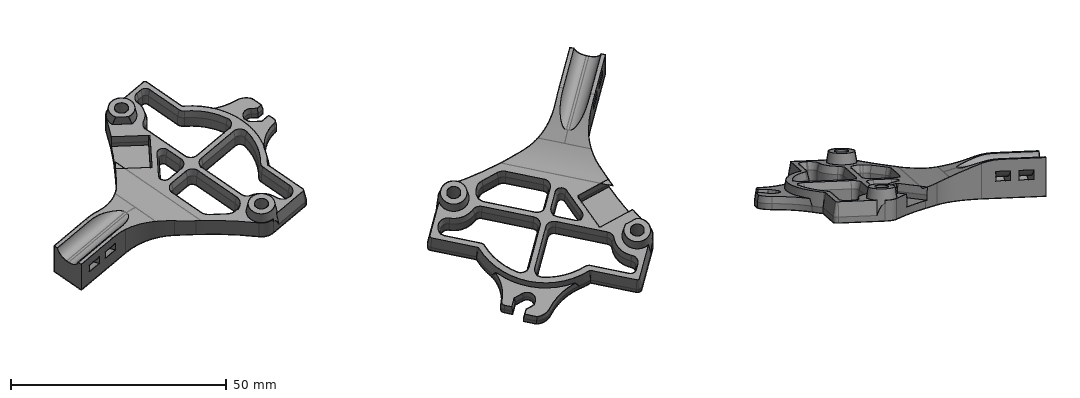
import cadquery as cq
import math

plate_top = 4.9
stem_top = 9.2
hook_top = 3.1
boss_top = 7.55
rim_break = 1.45
window_break = 3.1
pocket_floor = 1.85
draft = 10
window_draft = 15

half_width = 25.585
shoulder_y = 12.1
shoulder_round = 1.1
crown_radius = 18.2
boss_x = 21.885
corner_radius = half_width - boss_x
hole_diameter = 3.2
boss_foot_radius = 4.2
boss_flat_offset = 2.75

stem_half_width = 4.25
stem_end_y = -42.9
flank_sum = 25.0
flank_start_angle = math.radians(34)
flank_bend_x = 12.6
neck_radius = 16.5

rise_start_y = -11.6
rise_bend_y = -19.45
rise_bend_z = 5.95
rise_middle = (-25.7, 7.8)
rise_end_y = -32.0

groove_radius = 3.0
groove_axis_z = 9.85
groove_flat = 0.6
tie_inner_radius = 5.5
tie_outer_radius = 7.1
tie_width = 3.5
tie_offsets = (2.9, 8.4)

hook_left_top = 25.6
hook_right_top = 24.4
notch_center = (-0.6, 21.5)
notch_radius = 1.7
notch_left_x = -0.72
notch_right_x = 2.1

rib_half_width = 1.15
window_end_x = 23.255
window_shoulder_y = 9.7
window_crown_radius = 15.585
boss_wall_radius = 5.925
window_round = 1.5
small_round = 0.95
end_round = 1.8
reflex_round = 2.05
triangle_sum = 10.4
lower_window_x = 16.85
lower_window_y = -9.2
lower_window_diff = 21.8
lower_window_round = 2.2

pocket_center_u = -4.1
pocket_width = 9.2
pocket_back_v = -9.5
pocket_length = 13.7


def add_draft(base, height, angle):
    """Continue a straight prism upward by the given height with its walls leaning in by angle."""
    flare = base.faces(">Z").wires().toPending().workplane().extrude(height, taper=angle, combine=False)
    return base.union(flare)


def drafted(outline, break_z, top_z, angle):
    """Extrude an outline straight up to break_z, then tapered to top_z."""
    return add_draft(outline.extrude(break_z), top_z - break_z, angle)


def on_circle(radius, degrees, center=(0, 0)):
    angle = math.radians(degrees)
    return (center[0] + radius * math.cos(angle), center[1] + radius * math.sin(angle))


def circle_y(radius, x):
    return math.sqrt(radius**2 - x**2)


def mirror_x(point):
    return (-point[0], point[1])


def frame():
    """Upper half of the plate, with drafted outer walls."""
    crown_x = circle_y(crown_radius, shoulder_y)
    outline = (
        cq.Workplane("XY")
        .moveTo(-half_width, 0)
        .lineTo(-half_width, shoulder_y - shoulder_round)
        .radiusArc((-half_width + shoulder_round, shoulder_y), shoulder_round)
        .lineTo(-crown_x, shoulder_y)
        .threePointArc((0, crown_radius), (crown_x, shoulder_y))
        .lineTo(half_width - shoulder_round, shoulder_y)
        .radiusArc((half_width, shoulder_y - shoulder_round), shoulder_round)
        .lineTo(half_width, 0)
        .lineTo(boss_x, -corner_radius / 2)
        .lineTo(-boss_x, -corner_radius / 2)
        .close()
    )
    return drafted(outline, rim_break, plate_top, draft)


def lower_outline():
    """Bosses, flanks and stem below the line through the bosses."""
    corner_end = (
        boss_x + corner_radius * math.sin(flank_start_angle),
        -corner_radius * math.cos(flank_start_angle),
    )
    corner_mid = (
        boss_x + corner_radius * math.cos(flank_start_angle / 2),
        -corner_radius * math.sin(flank_start_angle / 2),
    )
    flank_bend = (flank_bend_x, flank_bend_x - flank_sum)
    neck_length = neck_radius * math.tan(math.radians(22.5))
    neck_corner_y = stem_half_width - flank_sum
    neck_diagonal = neck_length * math.sqrt(0.5)
    neck_start = (stem_half_width + neck_diagonal, neck_corner_y + neck_diagonal)
    neck_end = (stem_half_width, neck_corner_y - neck_length)
    return (
        cq.Workplane("XY")
        .moveTo(-half_width, 0)
        .lineTo(half_width, 0)
        .threePointArc(corner_mid, corner_end)
        .tangentArcPoint(flank_bend, relative=False)
        .lineTo(*neck_start)
        .tangentArcPoint(neck_end, relative=False)
        .lineTo(stem_half_width, stem_end_y)
        .lineTo(-stem_half_width, stem_end_y)
        .lineTo(*mirror_x(neck_end))
        .radiusArc(mirror_x(neck_start), -neck_radius)
        .lineTo(*mirror_x(flank_bend))
        .tangentArcPoint(mirror_x(corner_end), relative=False)
        .threePointArc(mirror_x(corner_mid), (-half_width, 0))
        .close()
    )


def lower_body():
    """Lower half of the plate, whose top sweeps up to the thick stem."""
    bend_slope = math.tan(2 * math.atan2(rise_bend_z - plate_top, rise_start_y - rise_bend_y))
    side_profile = (
        cq.Workplane("YZ")
        .moveTo(0.7, 0)
        .lineTo(0.7, plate_top)
        .lineTo(rise_start_y, plate_top)
        .tangentArcPoint((rise_bend_y, rise_bend_z), relative=False)
        .spline([rise_middle, (rise_end_y, stem_top)], tangents=[(-1, bend_slope), (-1, 0)], includeCurrent=True)
        .lineTo(stem_end_y, stem_top)
        .lineTo(stem_end_y, 0)
        .close()
        .extrude(half_width, both=True)
    )
    return lower_outline().extrude(stem_top).intersect(side_profile)


def boss(side):
    """Conical boss (side is -1 or 1); beside its wing it swells out from the drafted wall."""
    height = boss_top - rim_break
    top_radius = boss_foot_radius - height * math.tan(math.radians(draft))
    cone = cq.Workplane("XY").add(
        cq.Solid.makeCone(boss_foot_radius, top_radius, height, cq.Vector(side * boss_x, 0, rim_break))
    )
    wing = cq.Workplane("XY").box(
        2 * half_width, 2 * boss_foot_radius, boss_top, centered=(True, False, False)
    )
    above_plate = (
        cq.Workplane("XY", origin=(0, 0, plate_top))
        .rect(2 * half_width + boss_foot_radius, 4 * boss_foot_radius)
        .extrude(boss_top)
    )
    return cone.intersect(wing.union(above_plate))


def boss_holes():
    return (
        cq.Workplane("XY")
        .pushPoints([(-boss_x, 0), (boss_x, 0)])
        .circle(hole_diameter / 2)
        .extrude(boss_top)
    )


def hook():
    """Thin two-pronged hook above the crown."""
    left_foot = (-11.4, circle_y(crown_radius, -11.4))
    right_foot = (8.9, circle_y(crown_radius, 8.9))
    across = notch_radius * math.sqrt(0.5)
    cx, cy = notch_center
    upper_tangent = (cx - across, cy + across)
    lower_tangent = (cx + across, cy - across)
    left_mouth = (notch_left_x, upper_tangent[1] + notch_left_x - upper_tangent[0])
    right_mouth = (notch_right_x, lower_tangent[1] + notch_right_x - lower_tangent[0])
    outline = (
        cq.Workplane("XY")
        .moveTo(*left_foot)
        .threePointArc((-8.2, 18.1), (-6.5, 22.75))
        .threePointArc((-5.7, 24.4), (-3.9, hook_left_top))
        .lineTo(notch_left_x, hook_left_top)
        .lineTo(*left_mouth)
        .lineTo(*upper_tangent)
        .threePointArc((cx - across, cy - across), lower_tangent)
        .lineTo(*right_mouth)
        .lineTo(notch_right_x, hook_right_top)
        .lineTo(4.1, hook_right_top)
        .threePointArc((4.9, 24.05), (5.3, 23.0))
        .threePointArc((6.4, 19.05), right_foot)
        .close()
    )
    return drafted(outline, rim_break, hook_top, draft)


def window(outline, rounds):
    """Window cutter: each listed corner gets its radius, and the top part is drafted outward."""
    base = outline.extrude(window_break)
    for radius, corners in rounds.items():
        for corner in corners:
            near = cq.selectors.NearestToPointSelector((*corner, window_break / 2))
            base = base.edges("|Z").edges(near).fillet(radius)
    return add_draft(base, plate_top - window_break, -window_draft)


def upper_windows():
    rib = rib_half_width
    crown_foot = (circle_y(window_crown_radius, window_shoulder_y), window_shoulder_y)
    crown_end = (rib, circle_y(window_crown_radius, rib))
    crown_mid = on_circle(window_crown_radius, 65)
    boss_start = (window_end_x, circle_y(boss_wall_radius, window_end_x - boss_x))
    boss_end = (boss_x - circle_y(boss_wall_radius, rib), rib)
    boss_mid = on_circle(boss_wall_radius, 125, (boss_x, 0))
    shoulder_end = (window_end_x, window_shoulder_y)

    def outline():
        return (
            cq.Workplane("XY")
            .moveTo(rib, rib)
            .lineTo(*crown_end)
            .threePointArc(crown_mid, crown_foot)
            .lineTo(*shoulder_end)
            .lineTo(*boss_start)
            .threePointArc(boss_mid, boss_end)
            .close()
        )

    inner_corners = [(rib, rib), crown_end, boss_end]
    right = window(
        outline(),
        {window_round: inner_corners, reflex_round: [crown_foot], end_round: [shoulder_end, boss_start]},
    )
    left = window(
        outline(),
        {window_round: inner_corners + [boss_start], reflex_round: [crown_foot], small_round: [shoulder_end]},
    )
    return right.union(left.mirror("YZ"))


def lower_windows():
    rib = rib_half_width
    tip = triangle_sum - rib
    triangle = cq.Workplane("XY").polyline([(-rib, -rib), (-rib, -tip), (-tip, -rib)]).close()
    slope_top = (lower_window_x, lower_window_x - lower_window_diff)
    slope_bottom = (lower_window_diff + lower_window_y, lower_window_y)
    inner_bottom = (rib, lower_window_y)
    outer_top = (lower_window_x, -rib)
    pentagon = cq.Workplane("XY").polyline([(rib, -rib), outer_top, slope_top, slope_bottom, inner_bottom]).close()
    left = window(triangle, {window_round: [(-rib, -rib)], small_round: [(-rib, -tip), (-tip, -rib)]})
    right = window(
        pentagon,
        {window_round: [(rib, -rib), inner_bottom], lower_window_round: [outer_top, slope_top, slope_bottom]},
    )
    return left.union(right)


def turned_plane(z):
    """Workplane at height z whose x axis points toward +X -Y."""
    return cq.Workplane("XY", origin=(0, 0, z)).transformed(rotate=(0, 0, -45))


def pocket():
    """Pocket open through the left flank."""
    outline = (
        turned_plane(pocket_floor)
        .center(pocket_center_u, pocket_back_v - pocket_length / 2)
        .rect(pocket_width, pocket_length)
    )
    return drafted(outline, window_break - pocket_floor, plate_top - pocket_floor, -draft)


def boss_flat():
    """Removes the side of the left boss that faces the pocket."""
    flat_u = -boss_x * math.sqrt(0.5) + boss_flat_offset
    boss_v = -boss_x * math.sqrt(0.5)
    return (
        turned_plane(plate_top)
        .center(flat_u + boss_foot_radius / 2, boss_v)
        .rect(boss_foot_radius, 2 * boss_foot_radius)
        .extrude(boss_top - plate_top)
    )


def groove():
    """Two round-bottomed channels side by side, forming a groove with a narrow flat."""
    length = rise_start_y - stem_end_y
    half_flat = groove_flat / 2
    return (
        cq.Workplane("XZ", origin=(0, rise_start_y, 0))
        .moveTo(half_flat, groove_axis_z - groove_radius)
        .radiusArc((half_flat + groove_radius, groove_axis_z), -groove_radius)
        .lineTo(-half_flat - groove_radius, groove_axis_z)
        .radiusArc((-half_flat, groove_axis_z - groove_radius), -groove_radius)
        .close()
        .extrude(length)
    )


def tie_slots():
    """Curved passages for cable ties, concentric with the groove and running beneath it."""
    slots = cq.Workplane("XY")
    for offset in tie_offsets:
        slots = slots.union(
            cq.Workplane("XZ", origin=(0, stem_end_y + offset + tie_width, groove_axis_z))
            .circle(tie_outer_radius)
            .circle(tie_inner_radius)
            .extrude(tie_width)
        )
    return slots


result = frame().union(lower_body()).union(boss(-1)).union(boss(1))
result = result.union(hook())
result = result.cut(boss_flat()).cut(pocket()).cut(groove()).cut(tie_slots())
result = result.cut(upper_windows()).cut(lower_windows()).cut(boss_holes())